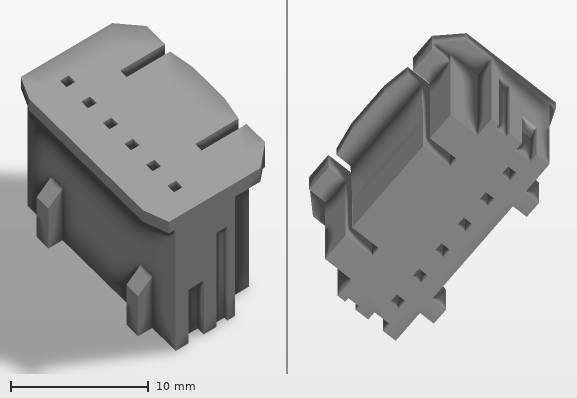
import cadquery as cq


width = 17.54
depth = 11.25
height = 14.8

wing_back = 11.0
front_corner_x = 2.05
front_corner_y = 0.8
back_corner_x = 1.75
back_corner_y = 1.8
front_flange_thickness = 1.28
back_flange_thickness = 1.5
flange_underside = height - back_flange_thickness

body_front = 1.42
recess_front = 6.88
body_back = 9.38
recess_depth = 1.6
pillar_side = width / 2 - recess_depth

slot_width = 0.77
latch_width = 8.1
latch_half = latch_width / 2
wing_inner = latch_half + slot_width

pad_flat_width = 3.72
pad_side_back = 10.85
arm_taper_start = 5.79
arm_back_at_top = 9.55

skirt_height = 1.28
skirt_outer = width / 2 - back_corner_x

rib_width = 1.39
rib_spacing = 10.61
rib_front = 0.12
rib_height = 5.75

narrow_groove_front = 5.17
narrow_groove_width = 0.98
narrow_groove_depth = 0.35
narrow_groove_height = 10.47
wide_groove_front = 2.61
wide_groove_width = 1.39
wide_groove_depth = 0.72
wide_groove_height = 5.98

hole_count = 6
hole_pitch = 2.55
hole_size = 0.79
hole_y = 3.23


def block(x_min, x_max, y_min, y_max, z_min, z_max):
    """Axis-aligned box between the given limits."""
    size = (x_max - x_min, y_max - y_min, z_max - z_min)
    return cq.Workplane("XY").box(*size, centered=False).translate((x_min, y_min, z_min))


def both_sides(shape):
    """The shape together with its mirror image across X = 0."""
    return shape.union(shape.mirror("YZ"))


def make_flange():
    """Top plate with cut corners; its front overhang is thinner than the rest."""
    half = width / 2
    plate = (
        cq.Workplane("XY", origin=(0, 0, flange_underside))
        .moveTo(-half + front_corner_x, 0)
        .lineTo(half - front_corner_x, 0)
        .lineTo(half, front_corner_y)
        .lineTo(half, wing_back - back_corner_y)
        .lineTo(half - back_corner_x, wing_back)
        .lineTo(-half + back_corner_x, wing_back)
        .lineTo(-half, wing_back - back_corner_y)
        .lineTo(-half, front_corner_y)
        .close()
        .extrude(back_flange_thickness)
    )
    front_relief = block(
        -half, half, 0, body_front, flange_underside, height - front_flange_thickness
    )
    return plate.cut(front_relief)


def make_body():
    """Full-width block with two narrower pillars behind it, one on each side of the latch."""
    half = width / 2
    front_section = block(-half, half, body_front, recess_front, 0, flange_underside)
    pillar = block(wing_inner, pillar_side, recess_front, body_back, 0, flange_underside)
    return front_section.union(both_sides(pillar))


def make_skirts():
    """Strips below the back edges of the two wings."""
    skirt = block(
        wing_inner, skirt_outer, body_back, wing_back, flange_underside - skirt_height, flange_underside
    )
    return both_sides(skirt)


def make_latch_gap():
    """Opening in the back of the flange that the latch fills apart from a slot on each side."""
    return block(-wing_inner, wing_inner, recess_front, depth, flange_underside, height)


def make_latch_pad():
    """Back part of the flange between the slots, with a blunt pointed outline."""
    return (
        cq.Workplane("XY", origin=(0, 0, flange_underside))
        .moveTo(-latch_half, recess_front)
        .lineTo(latch_half, recess_front)
        .lineTo(latch_half, pad_side_back)
        .lineTo(pad_flat_width / 2, depth)
        .lineTo(-pad_flat_width / 2, depth)
        .lineTo(-latch_half, pad_side_back)
        .close()
        .extrude(back_flange_thickness)
    )


def make_latch_arm():
    """Upright arm below the pad whose back leans outwards towards the pad."""
    return (
        cq.Workplane("YZ", origin=(-latch_half, 0, 0))
        .moveTo(recess_front, 0)
        .lineTo(body_back, 0)
        .lineTo(body_back, arm_taper_start)
        .lineTo(arm_back_at_top, flange_underside)
        .lineTo(recess_front, flange_underside)
        .close()
        .extrude(latch_width)
    )


def make_front_ribs():
    """Two vertical ribs with 45 degree tops."""
    rib_rise = body_front - rib_front
    rib = (
        cq.Workplane("YZ", origin=((rib_spacing - rib_width) / 2, 0, 0))
        .moveTo(body_front, 0)
        .lineTo(body_front, rib_height)
        .lineTo(rib_front, rib_height - rib_rise)
        .lineTo(rib_front, 0)
        .close()
        .extrude(rib_width)
    )
    return both_sides(rib)


def make_narrow_grooves():
    """Shallow square-ended grooves, one in each side face."""
    groove = block(
        width / 2 - narrow_groove_depth,
        width / 2,
        narrow_groove_front,
        narrow_groove_front + narrow_groove_width,
        0,
        narrow_groove_height,
    )
    return both_sides(groove)


def make_wide_grooves():
    """Deeper grooves with a 45 degree roof, one in each side face."""
    groove_floor = width / 2 - wide_groove_depth
    groove = (
        cq.Workplane("XZ", origin=(0, wide_groove_front, 0))
        .moveTo(groove_floor, 0)
        .lineTo(width / 2, 0)
        .lineTo(width / 2, wide_groove_height)
        .lineTo(groove_floor, wide_groove_height - wide_groove_depth)
        .close()
        .extrude(-wide_groove_width)
    )
    return both_sides(groove)


def make_contact_holes():
    """Row of square holes running the full height."""
    return (
        cq.Workplane("XY", origin=(0, hole_y, 0))
        .rarray(hole_pitch, 0.18, hole_count, 1)
        .rect(hole_size, hole_size)
        .extrude(height)
    )


def make_housing():
    """Complete one-piece housing with its latch."""
    return (
        make_flange()
        .cut(make_latch_gap())
        .union(make_body())
        .union(make_skirts())
        .union(make_front_ribs())
        .union(make_latch_pad())
        .union(make_latch_arm())
        .cut(make_narrow_grooves())
        .cut(make_wide_grooves())
        .cut(make_contact_holes())
    )


housing = make_housing()

result = cq.Compound.makeCompound([housing.val()])